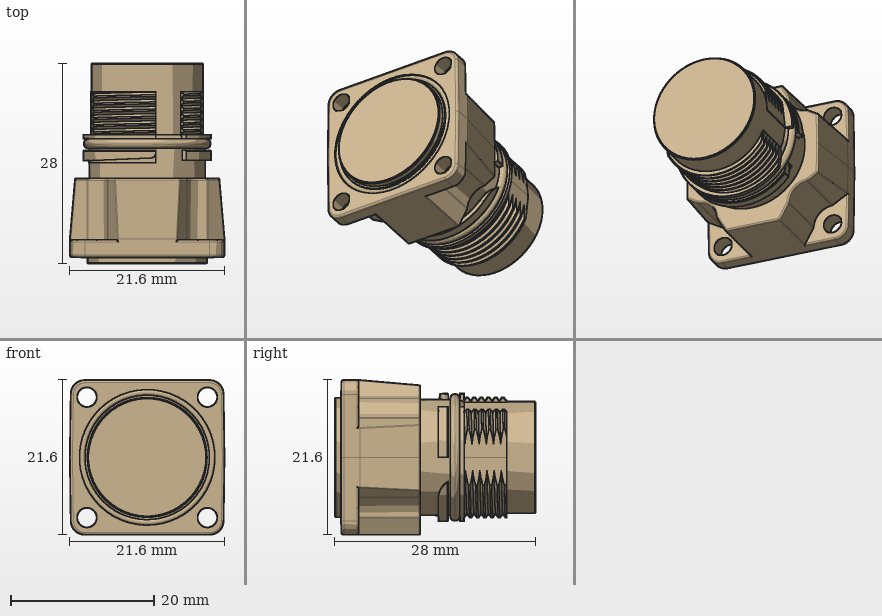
import cadquery as cq
import math


FLANGE_FRONT = 0.9
FLANGE_BACK = 3.32
TAPER_START = 3.5
BODY_BACK = 11.93
PAD_FRONT = 14.06
LOCK_RING_FRONT = 14.43
LOCK_RING_BACK = 15.85
O_RING_Y = 16.76
STOP_RING_FRONT = 17.45
STOP_RING_BACK = 18.03
THREAD_END = 24.0
TOTAL_LENGTH = 28.0

CAP_RADIUS = 8.35
NECK_RADIUS = 8.1
PAD_RADIUS = NECK_RADIUS + 0.04
RING_RADIUS = 8.92
BARREL_RADIUS = 7.8
THREAD_CREST_RADIUS = 8.4
O_RING_OUTER_RADIUS = 8.86
O_RING_TUBE = 0.68
FACE_SEAL_RADIUS = 9.065
FACE_SEAL_TUBE = 0.385
FACE_SEAL_STAND_OUT = 0.08

PITCH = 1.0
THREAD_DEPTH = 0.52
CREST_WIDTH = 0.25
GROOVE_CLEARANCE = 0.1
THREAD_OVERRUN = 0.85

HALF_SIDE = 10.8
MOULD_DRAFT = 0.15
CORNER_RADIUS = 2.0
BODY_TAPER = 0.73
HOLE_OFFSET = 8.4
HOLE_DIAMETER = 2.7
SCALLOP_INNER = 5.53
SCALLOP_OUTER = 8.36
SCALLOP_FOOT_FILLET = 0.35
SCALLOP_WALL_ANGLE = 60.0

SLOT_EDGE_X = 1.2
TOP_SLOT_FOOT = (4.67, 6.25)
TOP_SLOT_WALL_ANGLE = 48.0
SIDE_SLOT_FOOT = (-7.19, -3.03)
SIDE_SLOT_WALL_ANGLE = -81.0
THREAD_FLAT_X = 7.85
THREAD_FLAT_SLOPE = 0.105

RAMP_HIGH_Y = 14.78
RAMP_LOW_Y = 14.35
RAMP_CORNER_RADIUS = 0.7
SIDE_CORNER_RADIUS = 2.7

SMALL_BREAK = 0.15
FLANGE_FRONT_FILLET = 0.35
FLANGE_BACK_FILLET = 0.25
BODY_BACK_FILLET = 0.25
BODY_ROOT = FLANGE_BACK - FLANGE_BACK_FILLET
REACH = 15.0


def section(y):
    """Workplane across the axis at y: local x is X, local y is Z, normal is -Y."""
    return cq.Workplane("XZ", origin=(0, y, 0))


def cylinder(radius, y_start, y_end):
    return section(y_start).circle(radius).extrude(y_start - y_end)


def prism(points, y_start, y_end):
    return section(y_start).polyline(points).close().extrude(y_start - y_end)


def torus(radius, tube, y):
    profile = cq.Workplane("XY").center(radius, y).circle(tube)
    return profile.revolve(360, (-radius, 0, 0), (-radius, 1, 0))


def polar(start, distance, angle):
    radians = math.radians(angle)
    return (start[0] + distance * math.cos(radians), start[1] + distance * math.sin(radians))


def side_outline(half_side, top, bottom):
    """Six-sided outline whose X sides lean in from the Z = 0 parting plane."""
    corner = half_side - MOULD_DRAFT
    return [
        (half_side, 0), (corner, top), (-corner, top),
        (-half_side, 0), (-corner, bottom), (corner, bottom),
    ]


def make_flange():
    outline = side_outline(HALF_SIDE, HALF_SIDE, -HALF_SIDE)
    flange = prism(outline, FLANGE_FRONT, FLANGE_BACK)
    sharp = flange.edges("|Y").filter(lambda edge: abs(edge.Center().z) > HALF_SIDE / 2)
    flange = flange.newObject([flange.val().fillet(CORNER_RADIUS, sharp.vals())])
    flange = flange.faces("<Y").edges().fillet(FLANGE_FRONT_FILLET)
    return flange.faces(">Y").edges().fillet(FLANGE_BACK_FILLET)


def make_scallop(sign_x, sign_z):
    """Corner relief around a screw hole: an arc about the hole with flared walls."""
    start = (SCALLOP_INNER, SCALLOP_OUTER)
    radius = HOLE_OFFSET - SCALLOP_INNER
    middle = polar((HOLE_OFFSET, HOLE_OFFSET), radius, 225)
    flare = polar(start, REACH - SCALLOP_OUTER, 180 - SCALLOP_WALL_ANGLE)

    def place(x, z):
        return (sign_x * x, sign_z * z)

    outline = (
        section(BODY_ROOT).moveTo(*place(*flare)).lineTo(*place(*start))
        .threePointArc(place(*middle), place(*reversed(start)))
        .lineTo(*place(*reversed(flare))).lineTo(*place(REACH, REACH)).close()
    )
    scallop = outline.extrude(BODY_ROOT - BODY_BACK)

    def is_foot(edge):
        return max(abs(edge.Center().x), abs(edge.Center().z)) < SCALLOP_OUTER + SMALL_BREAK

    feet = scallop.edges("|Y").filter(is_foot)
    return scallop.newObject([scallop.val().fillet(SCALLOP_FOOT_FILLET, feet.vals())])


def is_scallop_rim(edge):
    """True where a scallop's flared wall meets an outer face of the tapered body."""
    centre = edge.Center()
    direction = edge.tangentAt(0)
    runs_along_axis = abs(direction.y) > max(abs(direction.x), abs(direction.z))
    in_tapered_length = TAPER_START < centre.y < BODY_BACK
    beyond_scallop = max(abs(centre.x), abs(centre.z)) > SCALLOP_OUTER + SCALLOP_FOOT_FILLET
    off_parting_plane = abs(centre.z) > SMALL_BREAK
    return runs_along_axis and in_tapered_length and beyond_scallop and off_parting_plane


def make_body():
    front = side_outline(HALF_SIDE, HALF_SIDE, -HALF_SIDE)
    back = side_outline(HALF_SIDE - BODY_TAPER, HALF_SIDE - BODY_TAPER, -HALF_SIDE)
    depth = TAPER_START - BODY_BACK
    body = (
        section(TAPER_START).polyline(front).close()
        .workplane(offset=depth).polyline(back).close().loft(ruled=True)
    )
    body = body.union(prism(front, BODY_ROOT, TAPER_START))
    for sign_x in (-1, 1):
        for sign_z in (-1, 1):
            body = body.cut(make_scallop(sign_x, sign_z))
    slanted = body.edges().filter(is_scallop_rim)
    body = body.newObject([body.val().fillet(SMALL_BREAK, slanted.vals())])
    return body.faces(">Y").edges().fillet(BODY_BACK_FILLET)


def seal_flange(part):
    """Sink a groove into the flange face and seat a rounded sealing ring in it."""
    centre_y = FLANGE_FRONT - FACE_SEAL_STAND_OUT + FACE_SEAL_TUBE
    outer = cylinder(FACE_SEAL_RADIUS + FACE_SEAL_TUBE, FLANGE_FRONT, centre_y)
    inner = cylinder(FACE_SEAL_RADIUS - FACE_SEAL_TUBE, FLANGE_FRONT, centre_y)
    return part.cut(outer.cut(inner)).union(torus(FACE_SEAL_RADIUS, FACE_SEAL_TUBE, centre_y))


def make_thread():
    """Threaded sleeve: a crest cylinder with a right-hand V groove and side flats."""
    start = STOP_RING_BACK - THREAD_OVERRUN
    length = THREAD_END - STOP_RING_BACK + 2 * THREAD_OVERRUN
    root_radius = THREAD_CREST_RADIUS - THREAD_DEPTH
    half_mouth = (PITCH - CREST_WIDTH) / 2
    half_outer = half_mouth * (1 + GROOVE_CLEARANCE / THREAD_DEPTH)
    path = cq.Wire.makeHelix(PITCH, length, root_radius)
    groove = (
        cq.Workplane("XZ")
        .polyline([
            (root_radius, 0),
            (THREAD_CREST_RADIUS + GROOVE_CLEARANCE, half_outer),
            (THREAD_CREST_RADIUS + GROOVE_CLEARANCE, -half_outer),
        ]).close().sweep(cq.Workplane(path), isFrenet=True)
    )
    groove = groove.rotate((0, 0, 0), (1, 0, 0), -90).translate((0, start, 0))
    blank = cylinder(THREAD_CREST_RADIUS, start - PITCH, start + length + PITCH)
    thread = blank.cut(groove)
    narrow = THREAD_FLAT_X - THREAD_FLAT_SLOPE * REACH
    between_flats = [
        (THREAD_FLAT_X, 0), (narrow, REACH), (-narrow, REACH),
        (-THREAD_FLAT_X, 0), (-narrow, -REACH), (narrow, -REACH),
    ]
    return thread.intersect(prism(between_flats, STOP_RING_BACK, THREAD_END))


def make_lock_ring():
    """Locking ring with a ramped edge beside the top slot and a rounded side end."""
    ring = cylinder(RING_RADIUS, PAD_FRONT, LOCK_RING_BACK)
    ring = ring.faces(">Y").edges().chamfer(SMALL_BREAK)
    ramp = (
        cq.Workplane("XY")
        .polyline([
            (-RING_RADIUS, LOCK_RING_BACK), (SLOT_EDGE_X, LOCK_RING_BACK),
            (SLOT_EDGE_X, RAMP_HIGH_Y), (-RING_RADIUS, RAMP_LOW_Y),
        ]).close().extrude(REACH)
        .edges("|Z").edges(">X").edges("<Y").fillet(RAMP_CORNER_RADIUS)
    )
    right = (
        cq.Workplane("XY").moveTo(SLOT_EDGE_X, LOCK_RING_FRONT)
        .lineTo(REACH, LOCK_RING_FRONT).lineTo(REACH, LOCK_RING_BACK)
        .lineTo(SLOT_EDGE_X, LOCK_RING_BACK).close().extrude(REACH)
    )
    lower = (
        cq.Workplane("YZ")
        .polyline([
            (LOCK_RING_FRONT, SIDE_SLOT_FOOT[1]), (STOP_RING_FRONT, SIDE_SLOT_FOOT[1]),
            (STOP_RING_FRONT, -REACH), (LOCK_RING_FRONT, -REACH),
        ]).close().extrude(REACH, both=True)
        .edges("|X").edges(">Z").edges("<Y").fillet(SIDE_CORNER_RADIUS)
    )
    return ring.intersect(ramp.union(right).union(lower))


def make_pad():
    """Thin step on the neck under the locking ring, left of the top slot."""
    width = SLOT_EDGE_X + REACH
    left = section(PAD_FRONT).center(SLOT_EDGE_X - width / 2, 0).rect(width, 2 * REACH)
    return cylinder(PAD_RADIUS, PAD_FRONT, LOCK_RING_BACK).intersect(
        left.extrude(PAD_FRONT - LOCK_RING_BACK))


def cut_slots(collars):
    """Remove the top and side keyways from the thread and both rings."""
    top = [
        (SLOT_EDGE_X, 0), (SLOT_EDGE_X, REACH),
        polar(TOP_SLOT_FOOT, REACH, TOP_SLOT_WALL_ANGLE), TOP_SLOT_FOOT,
    ]
    side = [
        (0, 0), (-REACH, 0), (-REACH, -REACH),
        polar(SIDE_SLOT_FOOT, REACH, SIDE_SLOT_WALL_ANGLE), SIDE_SLOT_FOOT,
    ]
    for outline in (top, side):
        collars = collars.cut(prism(outline, BODY_BACK, THREAD_END))
    return collars


def make_core():
    """Cap, neck and barrel, turned as one profile around Y."""
    profile = [
        (0, 0), (CAP_RADIUS - SMALL_BREAK, 0), (CAP_RADIUS, SMALL_BREAK),
        (CAP_RADIUS, FLANGE_BACK), (NECK_RADIUS, FLANGE_BACK),
        (NECK_RADIUS, STOP_RING_FRONT), (BARREL_RADIUS, STOP_RING_BACK),
        (BARREL_RADIUS, TOTAL_LENGTH - SMALL_BREAK),
        (BARREL_RADIUS - SMALL_BREAK, TOTAL_LENGTH), (0, TOTAL_LENGTH),
    ]
    return cq.Workplane("XY").polyline(profile).close().revolve(360, (0, 0, 0), (0, 1, 0))


def make_screw_holes():
    spacing = 2 * HOLE_OFFSET
    holes = section(FLANGE_FRONT).rect(spacing, spacing, forConstruction=True).vertices()
    return holes.circle(HOLE_DIAMETER / 2).extrude(FLANGE_FRONT - FLANGE_BACK)


base = make_flange().union(make_body()).cut(make_screw_holes())
base = seal_flange(base)

collars = make_thread().union(cylinder(RING_RADIUS, STOP_RING_FRONT, STOP_RING_BACK))
collars = cut_slots(collars)
lock_collar = cut_slots(make_lock_ring().union(make_pad()))
o_ring = torus(O_RING_OUTER_RADIUS - O_RING_TUBE, O_RING_TUBE, O_RING_Y)

result = make_core().union(base).union(collars).union(lock_collar).union(o_ring)